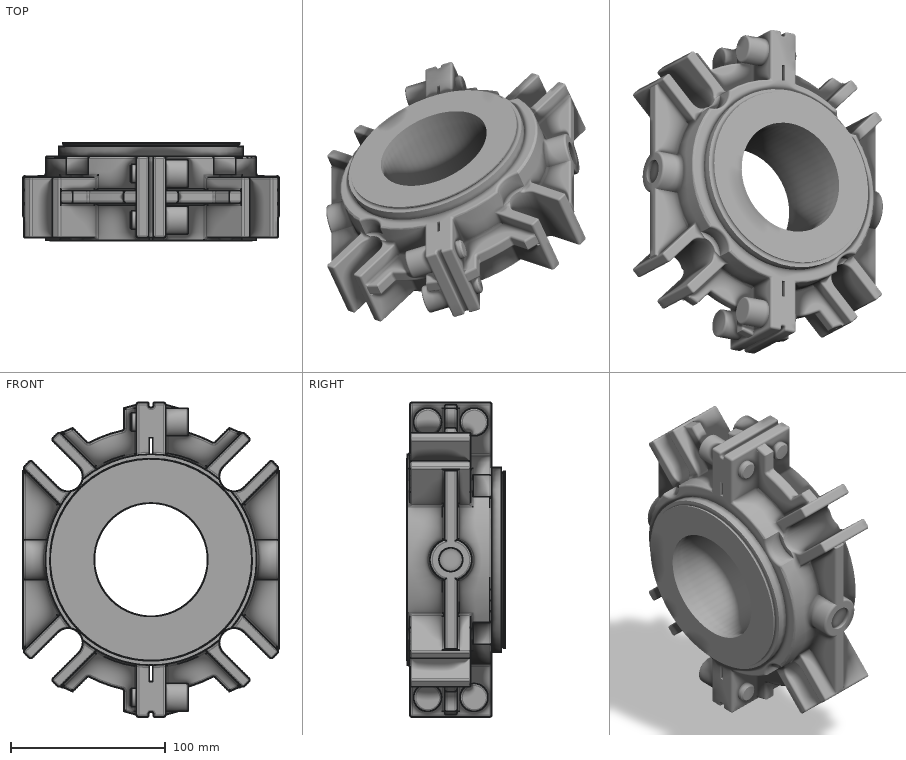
import cadquery as cq
import math

HALF_WIDTH = 165.29 / 2
HALF_HEIGHT = 203.14 / 2
FRONT_Y = -28.4
BACK_Y = FRONT_Y + 63.5
ROUND = 1.4

HOUSING_R = 136.2 / 2
CASTING_HALF_DEPTH = 26.4
SEAL_R = 130.18 / 2
SEAL_SEAT_R = 130.68 / 2
SEAL_PROUD = 0.4
SEAL_GAP_DEPTH = 1.0
COLLAR_R = 119.38 / 2
COLLAR_BACK_Y = 32.6
LIP_R = 114.3 / 2
LIP_NECK_R = 111.76 / 2
LIP_THICKNESS = 0.9
LIP_TAPER = LIP_R - LIP_NECK_R
BORE_R = 73.03 / 2

PAD_HALF_WIDTH = 16.5
PAD_TIP = HALF_WIDTH * math.sqrt(2) - PAD_HALF_WIDTH
PAD_BACK_Y = 12.8
PAD_RIM_ROUND = 1.0
PAD_ROOT = 60.0
SLOT_R = 9.4
SLOT_CENTER = 75.8
RELIEF_R = 13.1
RELIEF_Y = PAD_BACK_Y + 1.1 * ROUND

WEB_HALF_THICKNESS = 4.0
WEB_R = 85.5
FLANGE_EDGE = 24.4
FLANGE_TIP = 96.0
TOOTH_HALF_WIDTH = 17.5
TOOTH_TOP_Z = 97.9

LUG_HALF_WIDTH = 9.4
LUG_SHOULDER_Z = HALF_HEIGHT - ROUND
SLIT_WIDTH = 2.0
SLIT_TOP_Z = 78.6
GROOVE_HALF_WIDTH = 1.5
GROOVE_ROUND = 1.1
GROOVE_DEPTH = 3.2
BOLT_Z = 88.9
BOLT_Y = 15.0
BOLT_HEAD_R = 18 / 2
BOLT_HEAD_X = 24.2
BOLT_HEAD_ROUND = 1.2
BOLT_END_R = 12 / 2
BOLT_END_X = -13.3
BOLT_END_CHAMFER = 1.0

TRUNNION_R = 27 / 2
SOCKET_R = 15.34 / 2
SOCKET_DEPTH = 2.5

DIAGONALS = (45, 135, 225, 315)
SIDES = (-1, 1)
LINE_TOLERANCE = 0.01
THROUGH = 2 * HALF_HEIGHT


def y_cylinder(radius, y_start, y_end, x=0):
    """Cylinder along Y from y_start to y_end, with its axis at the given X."""
    start = cq.Vector(x, y_start, 0)
    return cq.Workplane(cq.Solid.makeCylinder(radius, y_end - y_start, start, cq.Vector(0, 1, 0)))


def x_cylinder(radius, x_start, x_end):
    """Cylinder along X between two X positions."""
    low, high = sorted((x_start, x_end))
    start = cq.Vector(low, 0, 0)
    return cq.Workplane(cq.Solid.makeCylinder(radius, high - low, start, cq.Vector(1, 0, 0)))


def box(x_range, y_range, z_range):
    """Box given by its limits along each axis."""
    limits = (x_range, y_range, z_range)
    sizes = [high - low for low, high in limits]
    corner = tuple(low for low, high in limits)
    return cq.Workplane(cq.Solid.makeBox(*sizes)).translate(corner)


def on_diagonals(shape):
    """Union of a shape lying along +X, turned onto the four diagonals."""
    turned = cq.Workplane()
    for angle in DIAGONALS:
        turned = turned.add(shape.rotate((0, 0, 0), (0, 1, 0), -angle))
    return turned.combine()


def with_mirror(shape, plane):
    """Union of a shape and its mirror image."""
    return shape.union(shape.mirror(plane))


def is_flat_along_y(edge):
    """True for an edge lying in a plane of constant Y."""
    return edge.BoundingBox().ylen < LINE_TOLERANCE


def near(value, target):
    """True when two lengths agree."""
    return abs(value - target) < LINE_TOLERANCE


def fillet_where(shape, radius, condition):
    """Fillet every edge that meets a condition."""
    picked = [edge for edge in shape.edges().vals() if condition(edge)]
    return shape.newObject(picked).fillet(radius)


def diagonal_point(along, offset):
    """X and Z of a point along the 45 degree axis, offset from it towards +Z."""
    return (along - offset) / math.sqrt(2), (along + offset) / math.sqrt(2)


def make_housing():
    """Ring with shallow reliefs behind the pads and a rounded rear rim."""
    ring = y_cylinder(HOUSING_R, FRONT_Y + SEAL_PROUD, CASTING_HALF_DEPTH)
    relief = y_cylinder(RELIEF_R, RELIEF_Y, CASTING_HALF_DEPTH, SLOT_CENTER)
    return ring.cut(on_diagonals(relief)).faces(">Y").edges().fillet(ROUND)


def make_pads():
    """Solid arm pads with rounded outer corners, before slotting."""
    pad = box((PAD_ROOT, PAD_TIP), (-CASTING_HALF_DEPTH, PAD_BACK_Y),
              (-PAD_HALF_WIDTH, PAD_HALF_WIDTH))
    return on_diagonals(pad.edges(">X and |Y").fillet(ROUND))


def make_lugs():
    """Upper and lower clamping lugs."""
    lug = box((-LUG_HALF_WIDTH, LUG_HALF_WIDTH), (-CASTING_HALF_DEPTH, CASTING_HALF_DEPTH),
              (0, HALF_HEIGHT))
    return with_mirror(lug.edges("|Z or >Z").fillet(ROUND), "XY")


def make_trunnions():
    """One bar whose rounded ends form both trunnions."""
    return x_cylinder(TRUNNION_R, -HALF_WIDTH, HALF_WIDTH).edges("<X or >X").fillet(ROUND)


def make_casting():
    """Housing with pads, lugs and trunnions, all blended into the housing wall."""
    casting = make_housing().union(make_pads()).union(make_trunnions()).union(make_lugs())

    def on_housing_wall(edge):
        middle = edge.Center()
        ends_on_wall = all(near(math.hypot(end.X, end.Z), HOUSING_R) for end in edge.Vertices())
        on_rear_rim = middle.y > CASTING_HALF_DEPTH - ROUND
        on_relief = middle.y > RELIEF_Y - LINE_TOLERANCE and abs(middle.x) > LUG_HALF_WIDTH + ROUND
        on_front_rim = middle.y < -CASTING_HALF_DEPTH - LINE_TOLERANCE
        return ends_on_wall and not (on_rear_rim or on_relief or on_front_rim)

    return fillet_where(casting, ROUND, on_housing_wall)


def cut_slots(casting):
    """Open slots with round bottoms, and rounded rims and tips on the pads they split."""
    slot = y_cylinder(SLOT_R, -THROUGH, THROUGH, SLOT_CENTER).union(
        box((SLOT_CENTER, THROUGH), (-THROUGH, THROUGH), (-SLOT_R, SLOT_R)))
    casting = casting.cut(on_diagonals(slot))

    def at_slot_mouth(edge):
        ends = [max(abs(end.X), abs(end.Z)) for end in edge.Vertices()]
        mouth = (PAD_TIP + SLOT_R) / math.sqrt(2)
        return not is_flat_along_y(edge) and all(near(end, mouth) for end in ends)

    def on_pad_rim(edge):
        middle = edge.Center()
        along = (abs(middle.x) + abs(middle.z)) / math.sqrt(2)
        on_face = near(middle.y, -CASTING_HALF_DEPTH) or near(middle.y, PAD_BACK_Y)
        return along > SLOT_CENTER and on_face and is_flat_along_y(edge)

    casting = fillet_where(casting, ROUND, at_slot_mouth)
    return fillet_where(casting, PAD_RIM_ROUND, on_pad_rim)


def make_side_webs():
    """Webs between the pads on each side, with rounded outer edges."""
    pad_z, pad_x = diagonal_point(PAD_TIP - ROUND, PAD_HALF_WIDTH)
    edge_z = pad_z - (HALF_WIDTH - pad_x)
    root = diagonal_point(PAD_ROOT, 0)[0]
    outline = [(0, 0), (root, root), (pad_x, pad_z), (HALF_WIDTH, edge_z),
               (HALF_WIDTH, -edge_z), (pad_x, -pad_z), (root, -root)]
    web = cq.Workplane("XZ").polyline(outline).close().extrude(WEB_HALF_THICKNESS, both=True)
    web = fillet_where(web, ROUND, lambda edge: near(edge.Center().x, HALF_WIDTH) and is_flat_along_y(edge))
    return with_mirror(web, "YZ")


def make_lug_web():
    """Web between the two upper pads, crossing the upper lug, with rounded outer edges."""
    pad_corner = diagonal_point(PAD_TIP - ROUND, PAD_HALF_WIDTH)
    flange_tip = diagonal_point(FLANGE_TIP, FLANGE_EDGE)
    flange_root = diagonal_point(math.sqrt(WEB_R**2 - FLANGE_EDGE**2), FLANGE_EDGE)
    tooth_root = (TOOTH_HALF_WIDTH, math.sqrt(WEB_R**2 - TOOTH_HALF_WIDTH**2))
    arc_angle = (math.atan2(*flange_root) + math.atan2(*tooth_root)) / 2
    arc_middle = (WEB_R * math.sin(arc_angle), WEB_R * math.cos(arc_angle))
    half = (cq.Workplane("XZ").moveTo(0, 0)
            .lineTo(*diagonal_point(PAD_ROOT, 0))
            .lineTo(*pad_corner)
            .lineTo(*flange_tip)
            .lineTo(*flange_root)
            .threePointArc(arc_middle, tooth_root)
            .lineTo(TOOTH_HALF_WIDTH, TOOTH_TOP_Z)
            .lineTo(LUG_HALF_WIDTH, LUG_SHOULDER_Z)
            .lineTo(0, LUG_SHOULDER_Z)
            .close().extrude(WEB_HALF_THICKNESS, both=True))
    inner_corners = [point[0] for point in (flange_root, tooth_root)]

    def at_inner_corner(edge):
        middle = edge.Center()
        return middle.z < WEB_R and not is_flat_along_y(edge) and any(
            near(middle.x, corner) for corner in inner_corners)

    def on_outer_edge(edge):
        middle = edge.Center()
        return math.hypot(middle.x, middle.z) > WEB_R - 2 * ROUND and middle.x > LINE_TOLERANCE and (
            is_flat_along_y(edge))

    half = fillet_where(half, ROUND, at_inner_corner)
    half = fillet_where(half, ROUND, on_outer_edge)
    return with_mirror(half, "YZ")


def root_strip(start, end, wall):
    """Concave strips along X, filling the corners of the web faces with walls at Z = +/- wall."""
    strip = (cq.Workplane("YZ", origin=(start, WEB_HALF_THICKNESS, wall))
             .lineTo(ROUND, 0)
             .radiusArc((0, ROUND), ROUND)
             .close().extrude(end - start))
    return with_mirror(with_mirror(strip, "XZ"), "XY")


def root_ring():
    """Concave rings filling the corners of the web faces with the housing wall."""
    ring = (cq.Workplane("XY").moveTo(HOUSING_R, 0)
            .lineTo(HOUSING_R + ROUND, 0)
            .lineTo(HOUSING_R + ROUND, WEB_HALF_THICKNESS)
            .radiusArc((HOUSING_R, WEB_HALF_THICKNESS + ROUND), ROUND)
            .close().revolve(360, (0, 0), (0, 1)))
    return with_mirror(ring, "XZ")


def add_webs(casting):
    """Join the webs and blend them into the housing, pads and lugs."""
    pad_strips = on_diagonals(root_strip(HOUSING_R, PAD_TIP - ROUND, PAD_HALF_WIDTH))
    lug_strips = root_strip(HOUSING_R - ROUND, TOOTH_TOP_Z, LUG_HALF_WIDTH)
    lug_strips = lug_strips.rotate((0, 0, 0), (0, 1, 0), -90)
    added = (make_side_webs(), with_mirror(make_lug_web(), "XY"), pad_strips,
             with_mirror(lug_strips, "XY"), root_ring())
    for shape in added:
        casting = casting.union(shape)
    return casting


def cut_clamp(casting):
    """Slit through each lug and the round-edged groove along its end."""
    slit = box((-SLIT_WIDTH / 2, SLIT_WIDTH / 2), (-THROUGH, THROUGH), (HOUSING_R, SLIT_TOP_Z))
    groove = box((-GROOVE_HALF_WIDTH, GROOVE_HALF_WIDTH), (-THROUGH, THROUGH),
                 (HALF_HEIGHT - GROOVE_DEPTH, THROUGH)).edges("|Y and <Z").fillet(GROOVE_ROUND)
    casting = casting.cut(with_mirror(slit.union(groove), "XY"))

    def on_groove_lip(edge):
        middle = edge.Center()
        return near(abs(middle.x), GROOVE_HALF_WIDTH) and near(abs(middle.z), HALF_HEIGHT)

    return fillet_where(casting, GROOVE_ROUND, on_groove_lip)


def make_bolts():
    """Bolts through the lugs: heads on the +X side, chamfered ends on the -X side."""
    head = x_cylinder(BOLT_HEAD_R, 0, BOLT_HEAD_X).edges(">X").fillet(BOLT_HEAD_ROUND)
    end = x_cylinder(BOLT_END_R, BOLT_END_X, 0).edges("<X").chamfer(BOLT_END_CHAMFER)
    bolt = head.union(end).translate((0, BOLT_Y, BOLT_Z))
    return with_mirror(with_mirror(bolt, "XZ"), "XY")


def make_sleeve():
    """Seal disc, rear collar and rear lip as one turned core."""
    lip_front_y = BACK_Y - LIP_THICKNESS
    profile = [(0, FRONT_Y), (SEAL_R, FRONT_Y), (SEAL_R, 0), (COLLAR_R, 0), (COLLAR_R, COLLAR_BACK_Y),
               (LIP_NECK_R, COLLAR_BACK_Y), (LIP_NECK_R, lip_front_y - LIP_TAPER),
               (LIP_R, lip_front_y), (LIP_R, BACK_Y), (0, BACK_Y)]
    return cq.Workplane("XY").polyline(profile).close().revolve(360, (0, 0), (0, 1))


def make_seal_seat():
    """Shallow recess that leaves a narrow gap around the seal disc."""
    seat_y = FRONT_Y + SEAL_PROUD
    return y_cylinder(SEAL_SEAT_R, seat_y, seat_y + SEAL_GAP_DEPTH)


body = make_casting()
body = add_webs(body)
body = cut_slots(body)
body = cut_clamp(body)
body = body.union(make_bolts())
body = body.cut(make_seal_seat()).union(make_sleeve())
for side in SIDES:
    body = body.cut(x_cylinder(SOCKET_R, side * (HALF_WIDTH - SOCKET_DEPTH), side * THROUGH))
result = body.cut(y_cylinder(BORE_R, -THROUGH, THROUGH))